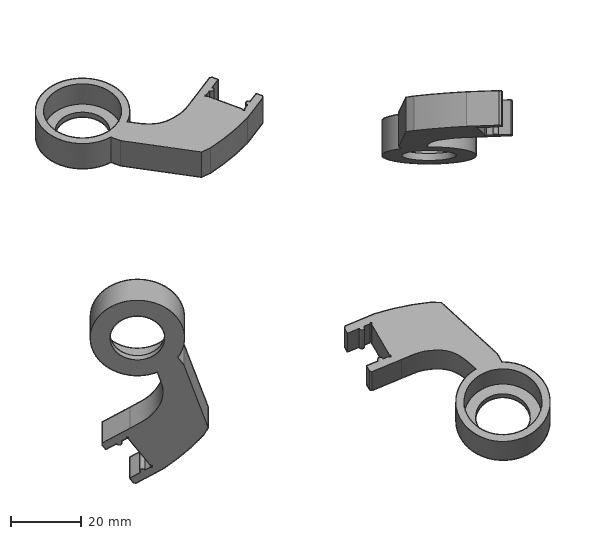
import cadquery as cq

length = 56.3
depth = 43.0
height = 10.0

ring_radius = 13.45
seat_radius = 11.1
bore_radius = 7.8
floor_thickness = 2.0

fork_width = 17.3
prong_width = 2.55
slot_depth = 7.5
tip_chamfer = 0.5
bump_radius = 0.8
bump_offset = 0.1
bump_drop = 4.5
relief_radius = 0.3

right_x = length - ring_radius
left_x = right_x - fork_width
top_y = depth - ring_radius
slot_floor_y = top_y - slot_depth
slot_left_x = left_x + prong_width
slot_right_x = right_x - prong_width

underside_y = -5.75
underside_bend_x = 15.25
heel = (37.85, 0.9)
back_bottom = (39.3, 3.6)
back_middle = (41.6, 11.75)
curve_top_y = 19.55
bend_root = (13.35, 2.0)
bend_points = [(18.85, 3.95), (22.8, 7.15), (24.9, 11.55)]

underside_run = heel[0] - underside_bend_x
underside_rise = heel[1] - underside_y
root_x = (seat_radius + ring_radius) / 2
root_top_y = bend_root[1] - (bend_root[0] - root_x) * underside_rise / underside_run


def make_arm():
    outline = (
        cq.Workplane("XY")
        .moveTo(left_x, top_y - tip_chamfer)
        .lineTo(left_x + tip_chamfer, top_y)
        .lineTo(right_x - tip_chamfer, top_y)
        .lineTo(right_x, top_y - tip_chamfer)
        .lineTo(right_x, curve_top_y)
        .threePointArc(back_middle, back_bottom)
        .lineTo(*heel)
        .lineTo(underside_bend_x, underside_y)
        .lineTo(0, underside_y)
        .lineTo(0, root_top_y)
        .lineTo(root_x, root_top_y)
        .lineTo(*bend_root)
        .spline(
            [*bend_points, (left_x, curve_top_y)],
            tangents=[(underside_run, underside_rise), (0, 1)],
            includeCurrent=True,
        )
        .close()
    )
    return outline.extrude(height)


def cut_slot(body):
    """Open the fork, with corner reliefs and a snap bump on each prong."""
    slot = (
        cq.Workplane("XY")
        .moveTo(slot_left_x, slot_floor_y)
        .lineTo(slot_right_x, slot_floor_y)
        .lineTo(slot_right_x, top_y)
        .lineTo(slot_left_x, top_y)
        .close()
        .extrude(height)
    )
    reliefs = (
        cq.Workplane("XY")
        .pushPoints([(slot_left_x, slot_floor_y), (slot_right_x, slot_floor_y)])
        .circle(relief_radius)
        .extrude(height)
    )
    body = body.cut(slot).cut(reliefs)
    bump_y = top_y - bump_drop
    for wall_x, inward in ((slot_left_x, 1), (slot_right_x, -1)):
        bump = (
            cq.Workplane("XY")
            .center(wall_x, bump_y)
            .slot2D(2 * (bump_radius + bump_offset), 2 * bump_radius)
            .extrude(height)
        )
        neck = (
            cq.Workplane("XY")
            .center(wall_x + inward * (bump_offset - bump_radius) / 2, bump_y)
            .rect(bump_radius + bump_offset, 2 * bump_radius)
            .extrude(height)
        )
        body = body.union(bump).union(neck)
    return body


ring = cq.Workplane("XY").circle(ring_radius).extrude(height)
seat = cq.Workplane("XY").workplane(offset=floor_thickness).circle(seat_radius).extrude(height)
bore = cq.Workplane("XY").circle(bore_radius).extrude(height)

result = cut_slot(make_arm()).union(ring).cut(seat).cut(bore)